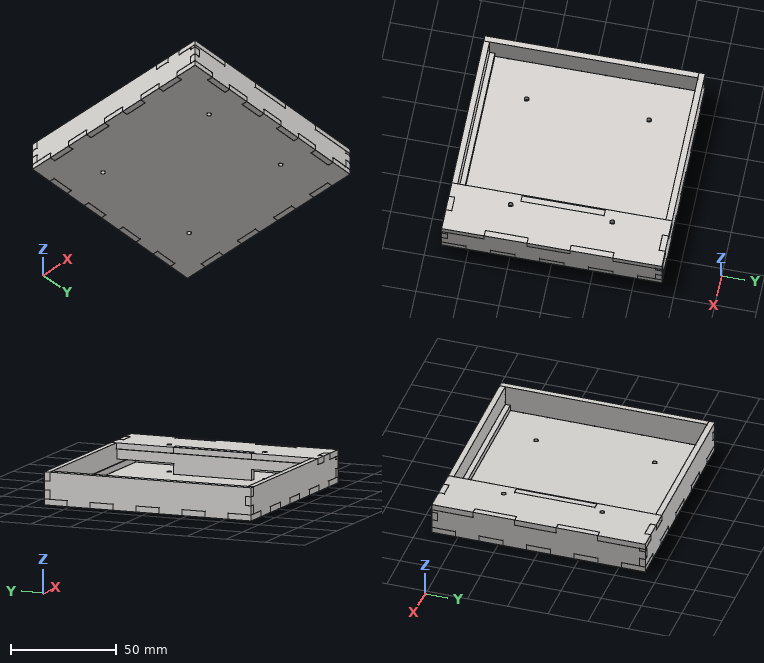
import cadquery as cq

side = 106.2
height = 16.0
board = 3.0
inner_far = side - board

base_fingers = 9
base_pitch = side / base_fingers
corner_fingers = 3
corner_pitch = (height - board) / corner_fingers

lid_start = 81.0
lid_bottom = height - board
end_fingers = 3
right_fingers = 5
front_tab_pitch = (inner_far - lid_start) / end_fingers
back_tab_pitch = (side - lid_start) / end_fingers
right_tab_pitch = inner_far / right_fingers

front_rail_width = 2.5
back_rail_width = 0.5

center_y = (board + front_rail_width + inner_far - back_rail_width) / 2

divider_setback = 0.5
divider_start = lid_start + divider_setback
divider_bottom = 8.2
tongue_length = 40.0

hole_diameter = 2.1
base_hole_x = 22.6
base_hole_spacing = 58.9
lid_hole_x = 87.1
lid_hole_spacing = 49.0


def block(x_range, y_range, z_range):
    """Box spanning the given (low, high) limits along each axis."""
    low, high = zip(x_range, y_range, z_range)
    lengths = [b - a for a, b in zip(low, high)]
    return cq.Workplane("XY").box(*lengths, centered=False).translate(low)


whole = (0, side)
inside = (board, inner_far)
low_edge = (0, board)
high_edge = (inner_far, side)
full_height = (0, height)
lid_level = (lid_bottom, height)


def hole_pair(x, spacing):
    """Two vertical cutters through the full height, spaced along Y about the centre line."""
    points = [(x, center_y - spacing / 2), (x, center_y + spacing / 2)]
    return cq.Workplane("XY").pushPoints(points).circle(hole_diameter / 2).extrude(height)


def divider_tab():
    """Middle strip of the divider, from the base up through the lid."""
    x_range = (divider_start, divider_start + board)
    y_range = (center_y - tongue_length / 2, center_y + tongue_length / 2)
    return block(x_range, y_range, (board, height))


def make_base():
    """Square floor board, notched at every second division of each edge."""
    base = block(whole, whole, (0, board))
    for index in range(1, base_fingers, 2):
        span = (index * base_pitch, (index + 1) * base_pitch)
        for edge in (low_edge, high_edge):
            base = base.cut(block(span, edge, (0, board)))
            base = base.cut(block(edge, span, (0, board)))
    base = base.cut(hole_pair(base_hole_x, base_hole_spacing))
    return base.cut(hole_pair(lid_hole_x, lid_hole_spacing))


def make_lid():
    """Cover board with slots for the tabs of three walls and of the divider."""
    lid = block((lid_start, side), whole, lid_level)
    front_tab = (lid_start + front_tab_pitch, lid_start + 2 * front_tab_pitch)
    lid = lid.cut(block(front_tab, low_edge, lid_level))
    back_tab = (lid_start + back_tab_pitch, lid_start + 2 * back_tab_pitch)
    lid = lid.cut(block(back_tab, high_edge, lid_level))
    for index in range(1, right_fingers, 2):
        right_tab = (index * right_tab_pitch, (index + 1) * right_tab_pitch)
        lid = lid.cut(block(high_edge, right_tab, lid_level))
    lid = lid.cut(divider_tab())
    return lid.cut(hole_pair(lid_hole_x, lid_hole_spacing))


def cut_corner_fingers(wall, x_edge, y_edge, levels):
    """Remove the given finger levels, counted up from the base, at one corner of the box."""
    for level in levels:
        bottom = board + level * corner_pitch
        wall = wall.cut(block(x_edge, y_edge, (bottom, bottom + corner_pitch)))
    return wall


outer_levels = (0, 2)
middle_level = (1,)


def make_long_wall(y_edge, missing_levels, base, lid):
    """Front or back wall, fitted around the base, the lid and the side walls' fingers."""
    wall = block(whole, y_edge, full_height).cut(base).cut(lid)
    for x_edge in (low_edge, high_edge):
        wall = cut_corner_fingers(wall, x_edge, y_edge, missing_levels)
    return wall


def make_side_wall(x_edge, base, lid):
    """Left or right wall: outer fingers at the front corner, middle finger at the back corner."""
    wall = block(x_edge, whole, full_height).cut(base).cut(lid)
    wall = cut_corner_fingers(wall, x_edge, low_edge, middle_level)
    return cut_corner_fingers(wall, x_edge, high_edge, outer_levels)


def make_divider():
    """Upright board under the lid, with a tongue down to the base and a tab up through the lid."""
    x_range = (divider_start, divider_start + board)
    return block(x_range, inside, (divider_bottom, lid_bottom)).union(divider_tab())


def make_rail(y_range):
    """Straight strip lying on the base between the side walls."""
    return block(inside, y_range, (board, 2 * board))


base = make_base()
lid = make_lid()
front_wall = make_long_wall(low_edge, outer_levels, base, lid)
back_wall = make_long_wall(high_edge, middle_level, base, lid)
left_wall = make_side_wall(low_edge, base, lid)
right_wall = make_side_wall(high_edge, base, lid)
divider = make_divider()
front_rail = make_rail((board, board + front_rail_width))
back_rail = make_rail((inner_far - back_rail_width, inner_far))

bodies = [base, lid, front_wall, back_wall, left_wall, right_wall, divider, front_rail, back_rail]
result = cq.Compound.makeCompound([body.solids().val() for body in bodies])